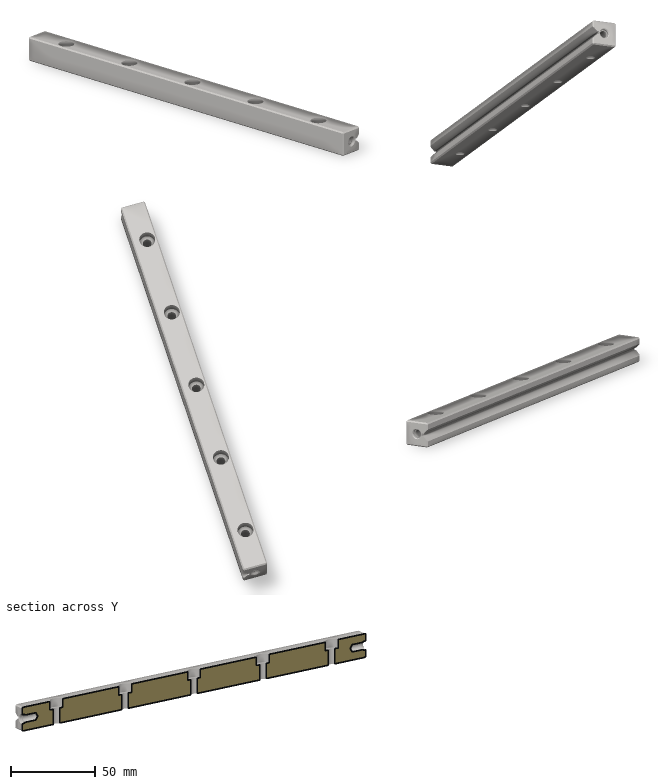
import cadquery as cq
import math

length = 250.0
side = 15.0
edge_chamfer = 0.8

hole_count = 5
hole_pitch = 50.0
hole_diameter = 5.2
counterbore_diameter = 9.5
counterbore_depth = 5.2
hole_y = -1.45

end_mouth_diameter = 6.2
entry_diameter = 5.2
entry_depth = 2.0
end_drill_diameter = 4.2
end_drill_depth = 10.0
drill_tip_angle = 118.0

groove_width = 7.2
relief_width = 1.5
relief_depth = 4.0


def make_bar():
    return cq.Workplane("XY").box(length, side, side).edges().chamfer(edge_chamfer)


def make_groove():
    """V groove and relief slot, running the full length of the bar."""
    side_y = side / 2
    half_width = groove_width / 2
    half_relief = relief_width / 2
    vee_bottom_y = side_y - (half_width - half_relief)
    relief_bottom_y = side_y - relief_depth
    profile = [
        (side_y, half_width),
        (vee_bottom_y, half_relief),
        (relief_bottom_y, half_relief),
        (relief_bottom_y, -half_relief),
        (vee_bottom_y, -half_relief),
        (side_y, -half_width),
    ]
    return cq.Workplane("YZ").polyline(profile).close().extrude(length / 2, both=True)


def cut_mounting_holes(body):
    first_x = -(hole_count - 1) * hole_pitch / 2
    centres = [(first_x + i * hole_pitch, hole_y) for i in range(hole_count)]
    return (
        body.faces(">Z")
        .workplane(origin=(0, 0, side / 2))
        .pushPoints(centres)
        .cboreHole(hole_diameter, counterbore_diameter, counterbore_depth)
    )


def make_end_hole():
    """Hole in the -X end: 45 degree mouth, short entry step, narrower drilled bore and conical drill tip."""
    end_x = -length / 2
    mouth_radius = end_mouth_diameter / 2
    entry_radius = entry_diameter / 2
    drill_radius = end_drill_diameter / 2
    mouth_end_x = end_x + mouth_radius - entry_radius
    entry_end_x = end_x + entry_depth
    drill_end_x = end_x + end_drill_depth
    tip_length = drill_radius / math.tan(math.radians(drill_tip_angle / 2))
    profile = [
        (end_x, 0),
        (end_x, mouth_radius),
        (mouth_end_x, entry_radius),
        (entry_end_x, entry_radius),
        (entry_end_x, drill_radius),
        (drill_end_x, drill_radius),
        (drill_end_x + tip_length, 0),
    ]
    return cq.Workplane("XY").polyline(profile).close().revolve(360, (0, 0, 0), (1, 0, 0))


end_hole = make_end_hole()
result = make_bar().cut(make_groove())
result = cut_mounting_holes(result)
result = result.cut(end_hole).cut(end_hole.mirror("YZ"))